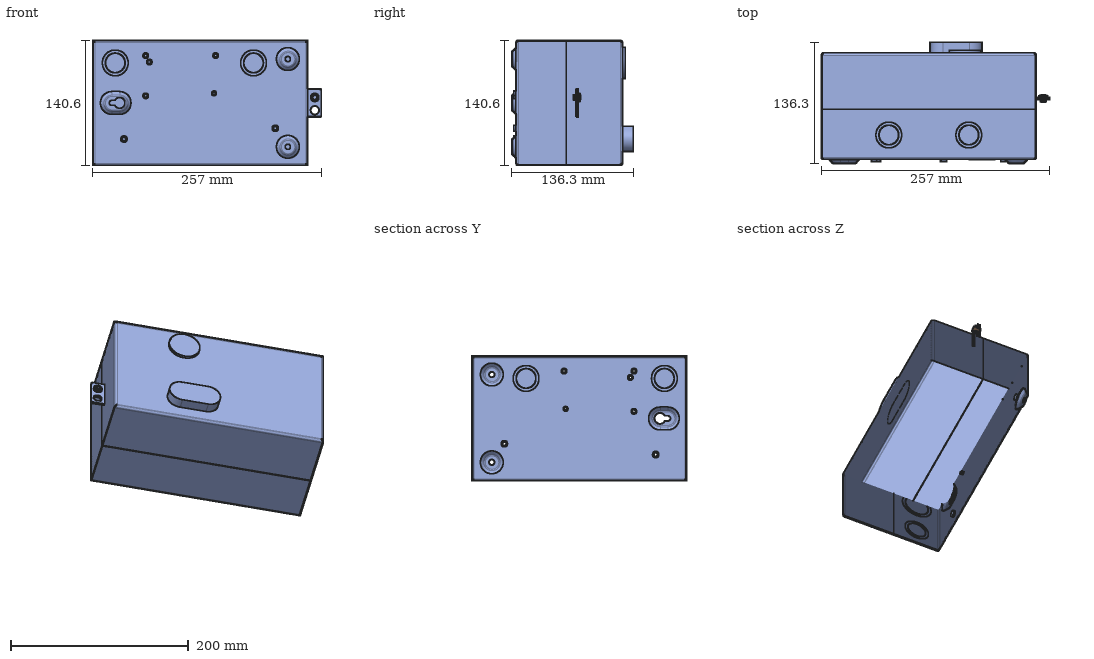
import cadquery as cq

OVERALL_WIDTH = 257.0
BOX_WIDTH = 241.5
BOX_DEPTH = 120.0
BOX_HEIGHT = 140.5
SPLIT_Y = 56.3
WALL = 1.0
BASE_EDGE_RADIUS = 2.3
COVER_EDGE_RADIUS = 3.0
RIGHT_SIDE_X = BOX_WIDTH / 2
LEFT_SIDE_X = -BOX_WIDTH / 2
TOP_Z = BOX_HEIGHT / 2

KNOCKOUT_RAISE = 0.1
SCORE_WIDTH = 0.3
SCORE_DEPTH = 0.39
KNOCKOUT_DIAMETER = 29.0
KNOCKOUT_SCORE_DIAMETER = 21.8
LARGE_KNOCKOUT_DIAMETER = 35.5
LARGE_KNOCKOUT_SCORE_DIAMETER = 28.0
KNOCKOUT_ROW_Z = 45.0
FRONT_KNOCKOUT_X = (-95.5, 59.9)
SIDE_KNOCKOUT_Y = 27.5
TOP_KNOCKOUT_X = 45.0

FOOT_HEIGHT = 4.5
FOOT_BASE_RADIUS = 12.8
FOOT_TOP_RADIUS = 8.5
FOOT_RIM_RADIUS = 2.0
FOOT_X = 98.5
FOOT_Z = 49.3
FOOT_HOLE_DIAMETER = 6.0
KEYHOLE_FOOT_X = -95.0
KEYHOLE_SPACING = 8.7
KEYHOLE_ENTRY_DIAMETER = 12.0
KEYHOLE_SLOT_WIDTH = 5.7

COLLAR_HEIGHT = 2.5
COLLARS = (
    (-61.5, 53.2, 6.2, 3.5),
    (-57.3, 46.0, 6.2, 3.5),
    (17.2, 53.2, 6.2, 3.5),
    (-61.5, 8.0, 6.2, 3.5),
    (15.5, 10.8, 5.5, 3.0),
    (-85.8, -40.5, 7.2, 4.0),
    (84.3, -28.5, 7.2, 4.0),
)

HANDLE_X = 30.5
HANDLE_Z = -40.3
HANDLE_LENGTH = 58.5
HANDLE_WIDTH = 28.8
HANDLE_HEIGHT = 11.8
PLATE_X = 40.5
PLATE_Z = 45.0
PLATE_DIAMETER = 35.5
PLATE_HEIGHT = 2.8

HASP_LENGTH = OVERALL_WIDTH - BOX_WIDTH - KNOCKOUT_RAISE
HASP_JOINT_Y = 68.3
COVER_TAB_HEIGHT = 31.9
COVER_TAB_THICKNESS = 1.8
LEAF_HEIGHT = 30.3
LEAF_THICKNESS = 1.3
HASP_CORNER_RADIUS = 1.5
HASP_HOLE_X = RIGHT_SIDE_X + 8.0
HASP_HOLE_DIAMETER = 9.2
PADLOCK_Z = -8.2
SCREW_Z = 6.2

SCREW_SHANK_DIAMETER = 4.5
SCREW_HEAD_DIAMETER = 9.8
SCREW_HEAD_HEIGHT = 2.0
SCREW_CROWN_HEIGHT = 0.8
SCREW_NECK_LENGTH = 1.0
SCREW_FLANGE_DIAMETER = 6.5
SCREW_FLANGE_LENGTH = 1.8
SCREW_EDGE_CHAMFER = 0.8


def y_plane(x, y, z):
    """Sketch plane facing -Y whose local axes are X and Z."""
    return cq.Workplane("XZ", origin=(x, y, z))


def y_cylinder(x, z, diameter, y_start, y_end):
    """Cylinder along Y between two Y positions."""
    return y_plane(x, y_end, z).circle(diameter / 2).extrude(y_end - y_start)


def box_shell(y_start, y_end, open_face, closed_face, edge_radius):
    """Half of the enclosure: open at the split, rounded around its closed face."""
    block = (
        cq.Workplane("XY")
        .box(BOX_WIDTH, y_end - y_start, BOX_HEIGHT, centered=(True, False, True))
        .translate((0, y_start, 0))
    )
    rounded = block.faces(closed_face).edges().fillet(edge_radius)
    return rounded.faces(open_face).shell(-WALL)


def add_knockout(body, plane, diameter, score_diameter):
    """Raised disc with a score ring, on a plane whose normal points out of the wall."""
    disc = cq.Workplane(plane).circle(diameter / 2).extrude(KNOCKOUT_RAISE)
    inner_radius = score_diameter / 2
    score = (
        cq.Workplane(plane)
        .workplane(offset=KNOCKOUT_RAISE)
        .circle(inner_radius + SCORE_WIDTH)
        .circle(inner_radius)
        .extrude(-SCORE_DEPTH)
    )
    return body.union(disc).cut(score)


def add_knockouts(body):
    for x in FRONT_KNOCKOUT_X:
        plane = cq.Plane((x, 0, KNOCKOUT_ROW_Z), xDir=(1, 0, 0), normal=(0, -1, 0))
        body = add_knockout(body, plane, KNOCKOUT_DIAMETER, KNOCKOUT_SCORE_DIAMETER)
    for x in (-TOP_KNOCKOUT_X, TOP_KNOCKOUT_X):
        plane = cq.Plane((x, SIDE_KNOCKOUT_Y, TOP_Z), xDir=(1, 0, 0), normal=(0, 0, 1))
        body = add_knockout(body, plane, KNOCKOUT_DIAMETER, KNOCKOUT_SCORE_DIAMETER)
    for z, diameter, score_diameter in (
        (-KNOCKOUT_ROW_Z, KNOCKOUT_DIAMETER, KNOCKOUT_SCORE_DIAMETER),
        (0, LARGE_KNOCKOUT_DIAMETER, LARGE_KNOCKOUT_SCORE_DIAMETER),
        (KNOCKOUT_ROW_Z, KNOCKOUT_DIAMETER, KNOCKOUT_SCORE_DIAMETER),
    ):
        plane = cq.Plane((LEFT_SIDE_X, SIDE_KNOCKOUT_Y, z), xDir=(0, 1, 0), normal=(-1, 0, 0))
        body = add_knockout(body, plane, diameter, score_diameter)
    return body


def slot_outline(sketch, radius, straight_length):
    """Circle, or a slot along X when the straight length is not zero."""
    if straight_length == 0:
        return sketch.circle(radius)
    return sketch.slot2D(straight_length + 2 * radius, 2 * radius)


def tapered_boss(x, z, straight_length):
    """Boss narrowing away from the front face, with a rounded rim."""
    sketch = slot_outline(y_plane(x, 0, z), FOOT_BASE_RADIUS, straight_length)
    sketch = slot_outline(sketch.workplane(offset=FOOT_HEIGHT), FOOT_TOP_RADIUS, straight_length)
    return sketch.loft(ruled=True).faces("<Y").edges().fillet(FOOT_RIM_RADIUS)


def add_foot(body, x, z, straight_length, opening):
    """Pressed-out foot: the same boss shifted inwards by the wall hollows it."""
    boss = tapered_boss(x, z, straight_length)
    hollow = boss.translate((0, WALL, 0))
    return body.union(boss).cut(hollow).cut(opening)


def keyhole():
    """Keyhole opening with its entry on the right."""
    half_spacing = KEYHOLE_SPACING / 2
    entry = y_cylinder(KEYHOLE_FOOT_X + half_spacing, 0, KEYHOLE_ENTRY_DIAMETER, -FOOT_HEIGHT, WALL)
    slot = slot_outline(y_plane(KEYHOLE_FOOT_X, WALL, 0), KEYHOLE_SLOT_WIDTH / 2, KEYHOLE_SPACING)
    return entry.union(slot.extrude(WALL + FOOT_HEIGHT))


def add_feet(body):
    for z in (-FOOT_Z, FOOT_Z):
        screw_hole = y_cylinder(FOOT_X, z, FOOT_HOLE_DIAMETER, -FOOT_HEIGHT, WALL)
        body = add_foot(body, FOOT_X, z, 0, screw_hole)
    return add_foot(body, KEYHOLE_FOOT_X, 0, KEYHOLE_SPACING, keyhole())


def add_collars(body):
    for x, z, outer_diameter, bore_diameter in COLLARS:
        body = body.union(y_cylinder(x, z, outer_diameter, -COLLAR_HEIGHT, 0))
        body = body.cut(y_cylinder(x, z, bore_diameter, -COLLAR_HEIGHT, WALL))
    return body


def hasp_plate(height, y_start, thickness, screw_hole_diameter):
    """Flat hasp plate on the right side with a screw hole and a padlock hole."""
    plate = (
        cq.Workplane("XY")
        .box(HASP_LENGTH, thickness, height, centered=(False, False, True))
        .translate((RIGHT_SIDE_X, y_start, 0))
        .edges(">X and |Y")
        .fillet(HASP_CORNER_RADIUS)
    )
    y_end = y_start + thickness
    screw_hole = y_cylinder(HASP_HOLE_X, SCREW_Z, screw_hole_diameter, y_start, y_end)
    padlock_hole = y_cylinder(HASP_HOLE_X, PADLOCK_Z, HASP_HOLE_DIAMETER, y_start, y_end)
    return plate.cut(screw_hole).cut(padlock_hole)


def make_base():
    base = box_shell(0, SPLIT_Y, ">Y", "<Y", BASE_EDGE_RADIUS)
    return add_collars(add_feet(add_knockouts(base)))


def make_cover():
    cover = box_shell(SPLIT_Y, BOX_DEPTH, "<Y", ">Y", COVER_EDGE_RADIUS)
    tab = hasp_plate(COVER_TAB_HEIGHT, HASP_JOINT_Y, COVER_TAB_THICKNESS, SCREW_SHANK_DIAMETER)
    return cover.union(tab)


def make_handle():
    return (
        y_plane(HANDLE_X, BOX_DEPTH, HANDLE_Z)
        .slot2D(HANDLE_LENGTH, HANDLE_WIDTH)
        .extrude(-HANDLE_HEIGHT)
    )


def make_round_plate():
    return y_cylinder(PLATE_X, PLATE_Z, PLATE_DIAMETER, BOX_DEPTH, BOX_DEPTH + PLATE_HEIGHT)


def make_hasp_leaf():
    leaf_front_y = HASP_JOINT_Y - LEAF_THICKNESS
    return hasp_plate(LEAF_HEIGHT, leaf_front_y, LEAF_THICKNESS, HASP_HOLE_DIAMETER)


def make_screw():
    head_y = HASP_JOINT_Y + COVER_TAB_THICKNESS
    crown_y = head_y + SCREW_HEAD_HEIGHT
    flange_y = HASP_JOINT_Y - LEAF_THICKNESS - SCREW_NECK_LENGTH
    tip_y = flange_y - SCREW_FLANGE_LENGTH

    shank_end_y = crown_y + SCREW_CROWN_HEIGHT
    shank = y_cylinder(HASP_HOLE_X, SCREW_Z, SCREW_SHANK_DIAMETER, flange_y, shank_end_y)
    head = y_cylinder(HASP_HOLE_X, SCREW_Z, SCREW_HEAD_DIAMETER, head_y, crown_y)
    flange = y_cylinder(HASP_HOLE_X, SCREW_Z, SCREW_FLANGE_DIAMETER, tip_y, flange_y)
    flange = flange.faces("<Y").edges().chamfer(SCREW_EDGE_CHAMFER)
    head = head.faces(">Y").edges().chamfer(SCREW_EDGE_CHAMFER)
    return shank.union(head).union(flange)


base = make_base()
cover = make_cover()
handle = make_handle()
round_plate = make_round_plate()
hasp_leaf = make_hasp_leaf()
screw = make_screw()

bodies = (base, cover, handle, round_plate, hasp_leaf, screw)
result = cq.Compound.makeCompound([body.solids().val() for body in bodies])